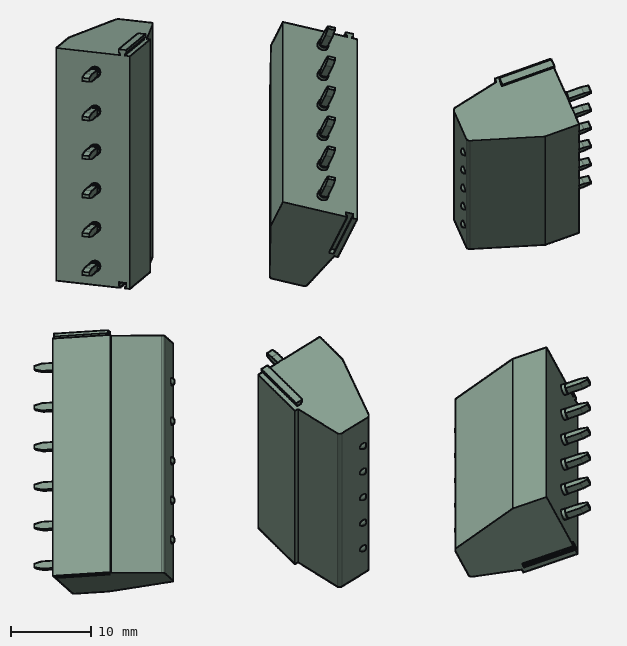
import cadquery as cq

pole_count = 6
body_height = 30.47
pole_pitch = body_height / pole_count

body_width = 9.8
body_depth = 13.83
left_wall_depth = 4.6
right_wall_depth = 7.4
right_ledge = 0.5
top_left_x = 3.03
top_right_x = 7.8
top_corner_radius = 0.47

dovetail_x = 8.8
dovetail_width = 1.0
dovetail_neck_width = 0.6
dovetail_height = 0.75
dovetail_neck_height = 0.12
dovetail_straight_height = 0.37
dovetail_length = 7.0

pin_x = 5.2
pin_length = 3.5
pin_width = 0.95
pin_taper_length = 1.0
pin_tip_height = 0.45
collar_radius = 0.7
collar_length = 0.5

nub_x = 4.1
nub_radius = 0.5
nub_height = 0.37


def make_body():
    outline = [
        (0, 0),
        (body_width, 0),
        (body_width, right_wall_depth),
        (body_width - right_ledge, right_wall_depth),
        (top_right_x, body_depth),
        (top_left_x, body_depth),
        (0, left_wall_depth),
    ]
    body = cq.Workplane("XY").polyline(outline).close().extrude(body_height)
    return body.faces(">Y").edges("|Z").fillet(top_corner_radius)


def make_dovetail(base_z):
    """Dovetail bar standing on base_z, running from the pin face towards +Y."""
    half_width = dovetail_width / 2
    half_neck = dovetail_neck_width / 2
    neck_z = base_z + dovetail_neck_height
    top_z = base_z + dovetail_height
    shoulder_z = top_z - dovetail_straight_height
    outline = [
        (dovetail_x - half_neck, base_z),
        (dovetail_x - half_neck, neck_z),
        (dovetail_x - half_width, shoulder_z),
        (dovetail_x - half_width, top_z),
        (dovetail_x + half_width, top_z),
        (dovetail_x + half_width, shoulder_z),
        (dovetail_x + half_neck, neck_z),
        (dovetail_x + half_neck, base_z),
    ]
    return cq.Workplane("XZ").polyline(outline).close().extrude(-dovetail_length)


def make_pin(z):
    """Round collar and square pin, flattened towards its tip."""
    collar = cq.Workplane("XZ").center(pin_x, z).circle(collar_radius).extrude(collar_length)
    half_width = pin_width / 2
    half_tip = pin_tip_height / 2
    taper_y = pin_taper_length - pin_length
    side = [
        (0, z - half_width),
        (taper_y, z - half_width),
        (-pin_length, z - half_tip),
        (-pin_length, z + half_tip),
        (taper_y, z + half_width),
        (0, z + half_width),
    ]
    blade = cq.Workplane("YZ", origin=(pin_x, 0, 0)).polyline(side).close()
    return collar.union(blade.extrude(half_width, both=True))


def make_nub(z):
    """Dome whose flat base lies on the +Y face."""
    sphere_radius = (nub_radius**2 + nub_height**2) / (2 * nub_height)
    sphere_y = body_depth + nub_height - sphere_radius
    sphere = cq.Workplane("XZ").sphere(sphere_radius)
    return sphere.translate((nub_x, sphere_y, z))


result = make_body().union(make_dovetail(body_height)).cut(make_dovetail(0))

for pole in range(pole_count):
    result = result.union(make_pin((pole + 0.5) * pole_pitch))

for joint in range(1, pole_count):
    result = result.union(make_nub(joint * pole_pitch))